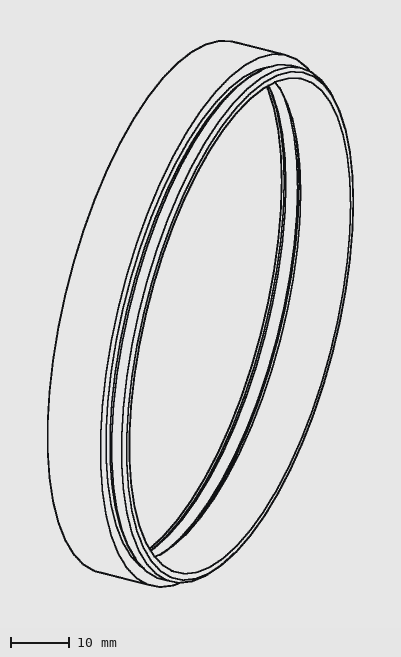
import cadquery as cq

total_length = 13.9
body_diameter = 93.0
body_length = 10.0
bore_diameter = 86.5

male_diameter = 90.0
male_relief_diameter = 88.7
male_relief_width = 0.75
male_chamfer = (male_diameter - male_relief_diameter) / 2

socket_mouth_depth = 0.5
socket_mouth_diameter = 90.2
socket_diameter = 89.0
socket_relief_diameter = 90.2
socket_relief_width = 1.2
socket_depth = 4.5
socket_chamfer = (socket_mouth_diameter - socket_diameter) / 2


def revolve_about_x(profile):
    """Turn a list of (x, diameter) points into a solid of revolution about X."""
    points = [(x, diameter / 2) for x, diameter in profile]
    return cq.Workplane("XY").polyline(points).close().revolve(360, (0, 0, 0), (1, 0, 0))


def make_outside():
    """Plain body with the chamfered male spigot and its relief groove."""
    relief_end = body_length + male_relief_width
    return revolve_about_x([
        (0, 0),
        (0, body_diameter),
        (body_length, body_diameter),
        (body_length, male_relief_diameter),
        (relief_end, male_relief_diameter),
        (relief_end + male_chamfer, male_diameter),
        (total_length - male_chamfer, male_diameter),
        (total_length, male_relief_diameter),
        (total_length, 0),
    ])


def make_inside():
    """Female socket with its relief groove, and the through bore behind it."""
    relief_start = socket_depth - socket_relief_width
    return revolve_about_x([
        (0, 0),
        (0, socket_mouth_diameter),
        (socket_mouth_depth, socket_mouth_diameter),
        (socket_mouth_depth + socket_chamfer, socket_diameter),
        (relief_start, socket_diameter),
        (relief_start, socket_relief_diameter),
        (socket_depth, socket_relief_diameter),
        (socket_depth, bore_diameter),
        (total_length, bore_diameter),
        (total_length, 0),
    ])


result = make_outside().cut(make_inside())